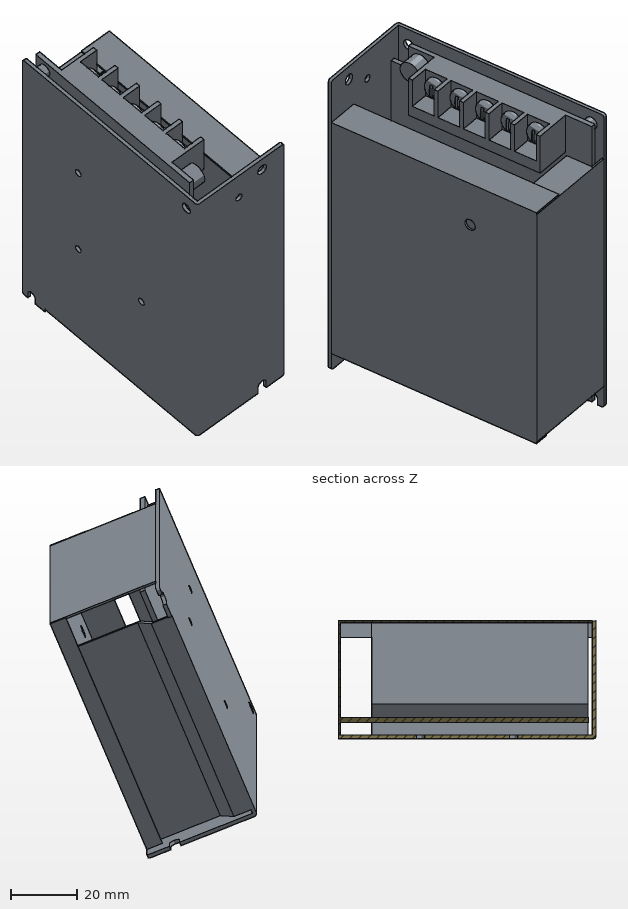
import cadquery as cq
import math


width = 77.98
depth = 35.76
height = 111.05

chassis_sheet = 1.2
bend_radius = 1.0
corner_radius = 1.0
lug_drop = 1.2
lug_width = 10.0
side_inner_x = width - chassis_sheet

slot_width = 3.3
plate_slot_x = 4.1
plate_slot_center_z = 2.2
side_slot_center_z = 4.05

mount_hole_diameter = 3.61
plate_hole_x = width - 4.9
plate_hole_z = height - 5.8
side_mount_y = 26.7
side_hole_z = height - 4.9

tapped_hole_diameter = 2.46
tapped_hole_left_x = 24.9
tapped_hole_right_x = 53.0
tapped_hole_upper_z = height - 31.9
tapped_hole_lower_z = height - 68.0
tapped_holes = [
    (tapped_hole_left_x, tapped_hole_upper_z),
    (tapped_hole_left_x, tapped_hole_lower_z),
    (tapped_hole_right_x, tapped_hole_lower_z),
]
side_tapped_hole_y = 17.2
side_tapped_hole_z = height - 10.4

standoff_diameter = 4.29
standoff_height = 3.75
standoff_x = 4.75
standoff_z = height - 4.9

cover_sheet = 0.65
cover_top_z = height - 16.4
cover_bottom_z = 8.2
back_inner_y = depth - cover_sheet
top_flange_width = 11.5
bottom_flange_width = 5.1
flange_setback = 0.1
left_flange_width = 10.05
back_hole_diameter = 3.83
back_hole_x = tapped_hole_left_x
back_hole_z = height - 31.4

floor_right_gap = 1.2
floor_right_x = side_inner_x - floor_right_gap
ramp_start_y = 6.75
ramp_end_y = 11.2
shelf_z = cover_bottom_z

board_thickness = 1.6
board_front_y = chassis_sheet + standoff_height
board_back_y = board_front_y + board_thickness
board_left_x = cover_sheet
board_right_x = 75.7
board_top_z = height - 1.2
board_bottom_z = 5.25
notch_left_x = 69.2
notch_bottom_z = plate_hole_z - (plate_hole_x - notch_left_x)

terminal_count = 5
terminal_pitch = 9.55
bay_width = 8.1
divider = terminal_pitch - bay_width
block_left_x = 10.45
block_width = terminal_count * terminal_pitch + divider
block_depth = 13.1
block_height = 14.0
bay_depth = 6.7
bay_height = 10.0

screw_head_diameter = 6.99
screw_rim = 0.9
screw_head_height = 3.0
screw_slot_width = 1.0
screw_slot_depth = 0.5

adjuster_diameter = 6.99
adjuster_height = 5.4
adjuster_x = 64.9
adjuster_z = height - 6.05


def block(x0, x1, y0, y1, z0, z1):
    """Box between two opposite corners."""
    return cq.Workplane("XY").box(x1 - x0, y1 - y0, z1 - z0, centered=False).translate((x0, y0, z0))


def cylinder_y(x, y, z, diameter, length):
    """Cylinder that starts at y and runs toward +Y."""
    axis = cq.Vector(0, 1, 0)
    return cq.Workplane(cq.Solid.makeCylinder(diameter / 2, length, cq.Vector(x, y, z), axis))


def cylinder_x(x, y, z, diameter, length):
    """Cylinder that starts at x and runs toward +X."""
    axis = cq.Vector(1, 0, 0)
    return cq.Workplane(cq.Solid.makeCylinder(diameter / 2, length, cq.Vector(x, y, z), axis))


def make_floor():
    """Lip, ramp and shelf bent from the lower edge of the mounting plate."""
    ramp_angle = math.atan2(shelf_z - lug_drop, ramp_end_y - ramp_start_y)
    setback = chassis_sheet * math.tan(ramp_angle / 2)
    profile = [
        (0, lug_drop),
        (ramp_start_y, lug_drop),
        (ramp_end_y, shelf_z),
        (back_inner_y, shelf_z),
        (back_inner_y, shelf_z + chassis_sheet),
        (ramp_end_y - setback, shelf_z + chassis_sheet),
        (ramp_start_y - setback, lug_drop + chassis_sheet),
        (0, lug_drop + chassis_sheet),
    ]
    floor = cq.Workplane("YZ").polyline(profile).close().extrude(floor_right_x - left_flange_width)
    return floor.translate((left_flange_width, 0, 0))


def make_chassis():
    plate = block(0, width, 0, chassis_sheet, lug_drop, height)
    lug = block(0, lug_width, 0, chassis_sheet, 0, lug_drop)
    plate = plate.union(lug).edges("|Y and <X").fillet(corner_radius)

    side = block(side_inner_x, width, 0, depth, lug_drop, height)
    side = side.edges("|X and >Y").fillet(corner_radius)
    chassis = plate.union(side).edges("|Z and >X and <Y").fillet(bend_radius)
    chassis = chassis.union(make_floor())

    slot_half = slot_width / 2
    chassis = chassis.cut(
        block(plate_slot_x - slot_half, plate_slot_x + slot_half, 0, chassis_sheet, 0, plate_slot_center_z))
    chassis = chassis.cut(cylinder_y(plate_slot_x, 0, plate_slot_center_z, slot_width, chassis_sheet))
    chassis = chassis.cut(
        block(side_inner_x, width, side_mount_y - slot_half, side_mount_y + slot_half, 0, side_slot_center_z))
    chassis = chassis.cut(
        cylinder_x(side_inner_x, side_mount_y, side_slot_center_z, slot_width, chassis_sheet))

    chassis = chassis.cut(cylinder_y(plate_hole_x, 0, plate_hole_z, mount_hole_diameter, chassis_sheet))
    chassis = chassis.cut(
        cylinder_x(side_inner_x, side_mount_y, side_hole_z, mount_hole_diameter, chassis_sheet))
    chassis = chassis.cut(
        cylinder_x(side_inner_x, side_tapped_hole_y, side_tapped_hole_z, tapped_hole_diameter, chassis_sheet))
    for x, z in tapped_holes:
        chassis = chassis.cut(cylinder_y(x, 0, z, tapped_hole_diameter, chassis_sheet))

    standoff = cylinder_y(standoff_x, chassis_sheet, standoff_z, standoff_diameter, standoff_height)
    return chassis.union(standoff)


def make_cover():
    flange_top_z = cover_top_z + cover_sheet
    flange_bottom_z = cover_bottom_z - cover_sheet
    left_wall = block(0, cover_sheet, chassis_sheet, depth, cover_bottom_z, cover_top_z)
    back_wall = block(0, side_inner_x, back_inner_y, depth, cover_bottom_z, cover_top_z)
    top_flange = block(
        flange_setback, side_inner_x, depth - top_flange_width, depth, cover_top_z, flange_top_z)
    bottom_flange = block(
        flange_setback, side_inner_x, depth - bottom_flange_width, depth, flange_bottom_z, cover_bottom_z)
    left_flange = block(
        0, left_flange_width, board_back_y, depth, cover_top_z - cover_sheet, cover_top_z)
    back_hole = cylinder_y(back_hole_x, back_inner_y, back_hole_z, back_hole_diameter, cover_sheet)
    cover = left_wall.union(back_wall.cut(back_hole)).union(top_flange)
    return cover.union(bottom_flange).union(left_flange)


def make_screw_head(x, y, z):
    """Domed, slotted screw head that faces +Y."""
    radius = screw_head_diameter / 2
    dome_rise = screw_head_height - screw_rim
    profile = cq.Workplane("XY").lineTo(radius, 0).lineTo(radius, screw_rim)
    profile = profile.ellipseArc(radius, dome_rise, 0, 90, startAtCurrent=True).close()
    head = profile.revolve(360, (0, 0), (0, 1))
    slot = block(
        -screw_slot_width / 2, screw_slot_width / 2,
        screw_head_height - screw_slot_depth, screw_head_height,
        -radius, radius)
    return head.cut(slot).translate((x, y, z))


def make_terminal_block():
    block_back_y = board_back_y + block_depth
    bay_floor_y = block_back_y - bay_depth
    terminals = block(
        block_left_x, block_left_x + block_width,
        board_back_y, block_back_y,
        board_top_z - block_height, board_top_z)
    for index in range(terminal_count):
        bay_left_x = block_left_x + divider + index * terminal_pitch
        bay = block(
            bay_left_x, bay_left_x + bay_width,
            bay_floor_y, block_back_y,
            board_top_z - bay_height, board_top_z)
        screw = make_screw_head(bay_left_x + bay_width / 2, bay_floor_y, board_top_z - bay_height / 2)
        terminals = terminals.cut(bay).union(screw)
    return terminals


def make_board_assembly():
    board = block(board_left_x, board_right_x, board_front_y, board_back_y, board_bottom_z, board_top_z)
    notch = block(notch_left_x, board_right_x, board_front_y, board_back_y, notch_bottom_z, board_top_z)
    adjuster = cylinder_y(adjuster_x, board_back_y, adjuster_z, adjuster_diameter, adjuster_height)
    return board.cut(notch).union(make_terminal_block()).union(adjuster)


chassis = make_chassis()
cover = make_cover()
board_assembly = make_board_assembly()

result = cq.Compound.makeCompound([chassis.val(), cover.val(), board_assembly.val()])